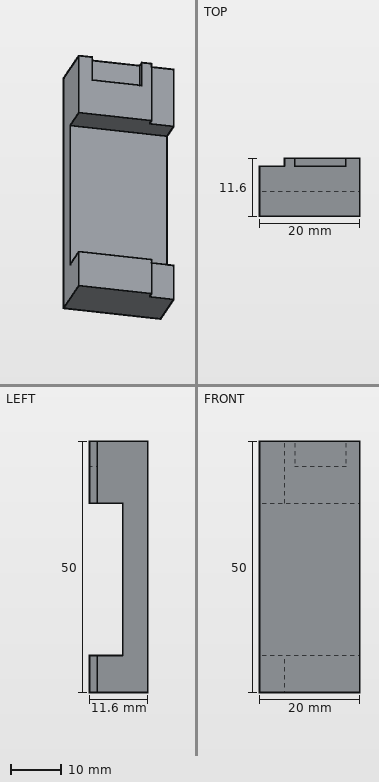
import cadquery as cq

width = 20
height = 50
body_depth = 10

web_depth = 5
lower_leg_height = 7.4
upper_leg_height = 12.4

pad_thickness = 1.6
pad_left = 5
groove_left = 7
groove_right = 17.2
groove_length = 5

total_depth = body_depth + pad_thickness
upper_leg_bottom = height - upper_leg_height


def block(x_range, y_range, z_range):
    """Box spanning the given (start, end) pairs."""
    starts, ends = zip(x_range, y_range, z_range)
    sizes = [end - start for start, end in zip(starts, ends)]
    return cq.Workplane("XY").box(*sizes, centered=False).translate(starts)


body = block((0, width), (0, body_depth), (0, height))
pad = block((pad_left, width), (body_depth, total_depth), (0, height))

groove = block((groove_left, groove_right), (body_depth, total_depth), (height - groove_length, height))

leg_gap = block((0, width), (web_depth, total_depth), (lower_leg_height, upper_leg_bottom))

result = body.union(pad).cut(groove).cut(leg_gap)